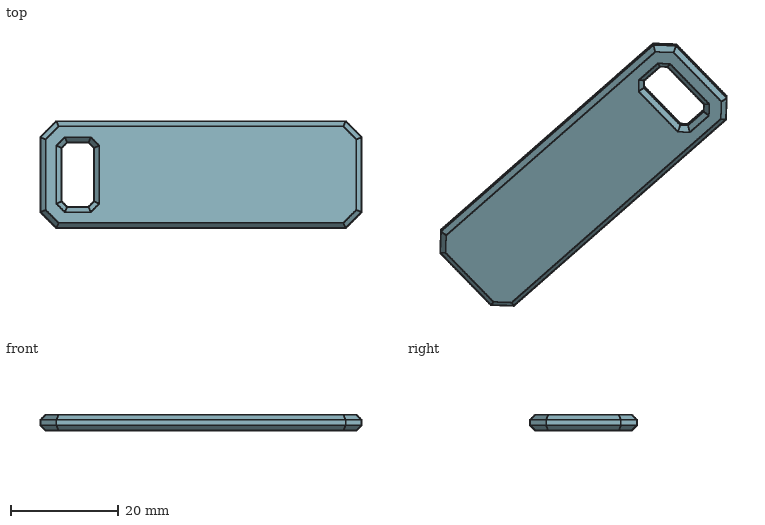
import cadquery as cq

length = 60.0
width = length / 3
thickness = 3.0
corner_cut = 3.0
bevel = thickness / 3

slot_length = 6.0
slot_width = 12.0
slot_corner_cut = bevel
slot_margin = 3.0
slot_x = -length / 2 + slot_margin + bevel + slot_length / 2


def cut_corner_block(size_x, size_y, corner):
    """Block of plate thickness, standing on Z = 0, with its upright edges cut at 45 degrees."""
    block = cq.Workplane("XY").box(size_x, size_y, thickness, centered=(True, True, False))
    return block.edges("|Z").chamfer(corner)


plate = cut_corner_block(length, width, corner_cut)
slot = cut_corner_block(slot_length, slot_width, slot_corner_cut).translate((slot_x, 0, 0))

result = plate.cut(slot).faces("|Z").edges().chamfer(bevel)